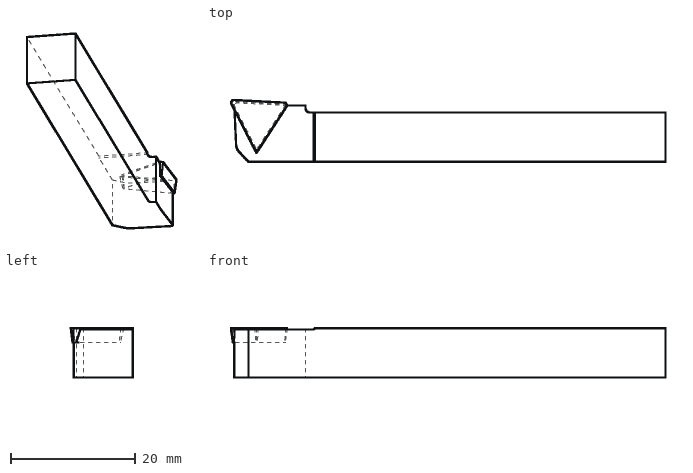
import cadquery as cq
import math

LENGTH = 70.0
WIDTH = 10.0
HEIGHT = 8.0
SHANK_WIDTH = 8.0

HEAD_DROP = 0.2
RAMP_START_X = 13.3
RAMP_RUN = 0.3
HEAD_BACK_Y = 9.1
HEAD_END_X = 12.05
NECK_RADIUS = 0.7
NOSE_X = 0.55
NOSE_Y = 8.9
NOSE_MID = (0.6, 9.3)
NOSE_BACK = (1.0, 9.5)
BACK_BEND_X = 8.9
HEEL_START = (0.85, 2.7)
HEEL_MID = (1.05, 2.0)
CHAMFER_TOP = (1.5, 1.5)
CHAMFER_END_X = 2.9

INSERT_SIDE = 9.65
INSERT_THICKNESS = 2.3
INSERT_CORNER_FLAT = 0.55
INSERT_RELIEF = 7.0
INSERT_TILT = -3.0

CORNER_X = -INSERT_CORNER_FLAT * math.cos(math.radians(INSERT_TILT - 60))
CORNER_Y = WIDTH - INSERT_CORNER_FLAT * math.sin(math.radians(INSERT_TILT))


def triangle_edge_point(corner, distance):
    """Point on a sharp triangle edge, counted clockwise from the cutting corner."""
    x, y = CORNER_X, CORNER_Y
    for edge in range(corner + 1):
        heading = math.radians(INSERT_TILT - 120 * edge)
        step = distance if edge == corner else INSERT_SIDE
        x += step * math.cos(heading)
        y += step * math.sin(heading)
    return x, y


def relieved_prism(outline):
    """Prism hanging from the shank top, its sides leaning inward going down."""
    return (
        cq.Workplane("XY", origin=(0, 0, HEIGHT))
        .polyline(outline)
        .close()
        .extrude(-INSERT_THICKNESS, taper=INSERT_RELIEF)
    )


def make_insert():
    outline = []
    for corner in range(3):
        outline.append(triangle_edge_point(corner, INSERT_CORNER_FLAT))
        outline.append(triangle_edge_point(corner, INSERT_SIDE - INSERT_CORNER_FLAT))
    return relieved_prism(outline)


def insert_pocket():
    """Seat for the insert, with sharp corners that leave a gap at each blunted tip."""
    return relieved_prism([triangle_edge_point(corner, 0) for corner in range(3)])


def holder_blank():
    """Plan outline of shank and head, carried through the full height."""
    neck_side = NECK_RADIUS * math.sqrt(0.5)
    neck_mid = (
        HEAD_END_X + NECK_RADIUS - neck_side,
        SHANK_WIDTH + NECK_RADIUS - neck_side,
    )
    return (
        cq.Workplane("XY")
        .moveTo(CHAMFER_END_X, 0)
        .lineTo(LENGTH, 0)
        .lineTo(LENGTH, SHANK_WIDTH)
        .lineTo(HEAD_END_X + NECK_RADIUS, SHANK_WIDTH)
        .threePointArc(neck_mid, (HEAD_END_X, SHANK_WIDTH + NECK_RADIUS))
        .lineTo(HEAD_END_X, HEAD_BACK_Y)
        .lineTo(BACK_BEND_X, HEAD_BACK_Y)
        .lineTo(*NOSE_BACK)
        .threePointArc(NOSE_MID, (NOSE_X, NOSE_Y))
        .lineTo(*HEEL_START)
        .threePointArc(HEEL_MID, CHAMFER_TOP)
        .close()
        .extrude(HEIGHT)
    )


def head_relief():
    """Shallow cut that lowers the head, ending in a short ramp up to the shank."""
    return (
        cq.Workplane("XZ")
        .polyline([
            (0, HEIGHT),
            (0, HEIGHT - HEAD_DROP),
            (RAMP_START_X, HEIGHT - HEAD_DROP),
            (RAMP_START_X + RAMP_RUN, HEIGHT),
        ])
        .close()
        .extrude(-WIDTH)
    )


def make_holder():
    return holder_blank().cut(head_relief()).cut(insert_pocket())


holder = make_holder()
insert = make_insert()

result = cq.Compound.makeCompound([holder.solids().val(), insert.solids().val()])